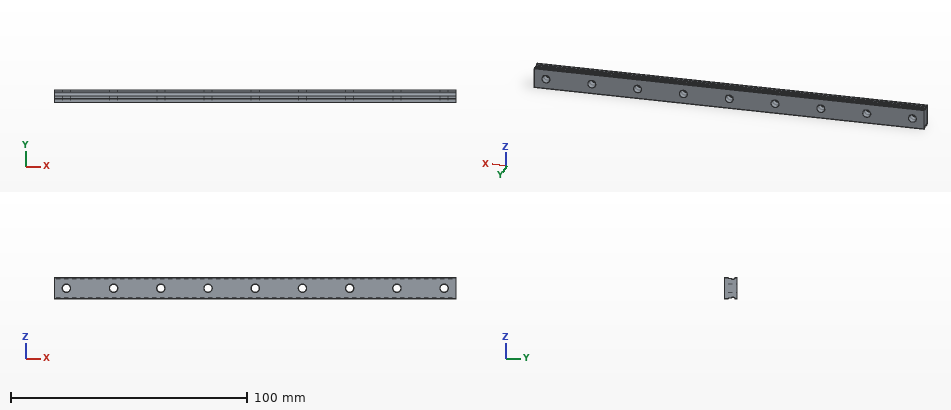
import cadquery as cq

LENGTH = 170.0
THICKNESS = 5.5
HEIGHT = 9.0
EDGE_CHAMFER = 0.2

GROOVE_START = 1.9
GROOVE_END = 0.2
GROOVE_DEPTH = 0.7

STEP_END = -0.8
STEP_RAMP = 0.3
STEP_DEPTH = 0.3

HOLE_DIAMETER = 3.4
HOLE_COUNT = 9
HOLE_END_MARGIN = 5.1
HOLE_PITCH = (LENGTH - 2 * HOLE_END_MARGIN) / (HOLE_COUNT - 1)


def make_body():
    """Rectangular bar, centred on the origin, with chamfered long edges."""
    bar = cq.Workplane("XY").box(LENGTH, THICKNESS, HEIGHT)
    return bar.edges("|X").chamfer(EDGE_CHAMFER)


def make_groove(side):
    """Full-length groove and step; side is +1 for the top, -1 for the bottom."""
    surface_z = side * HEIGHT / 2
    floor_z = surface_z - side * GROOVE_DEPTH
    step_z = surface_z - side * STEP_DEPTH
    middle_y = (GROOVE_START + GROOVE_END) / 2
    profile = (
        cq.Workplane("YZ")
        .moveTo(GROOVE_START, surface_z)
        .threePointArc((middle_y, floor_z), (GROOVE_END, step_z))
        .lineTo(STEP_END, step_z)
        .lineTo(STEP_END - STEP_RAMP, surface_z)
        .close()
    )
    return profile.extrude(LENGTH / 2, both=True)


def make_holes():
    """Evenly spaced row of cylinders along the rail."""
    row = cq.Workplane("XZ").rarray(HOLE_PITCH, 1.7, HOLE_COUNT, 1)
    return row.circle(HOLE_DIAMETER / 2).extrude(THICKNESS, both=True)


result = make_body()
for side in (1, -1):
    result = result.cut(make_groove(side))
result = result.cut(make_holes())